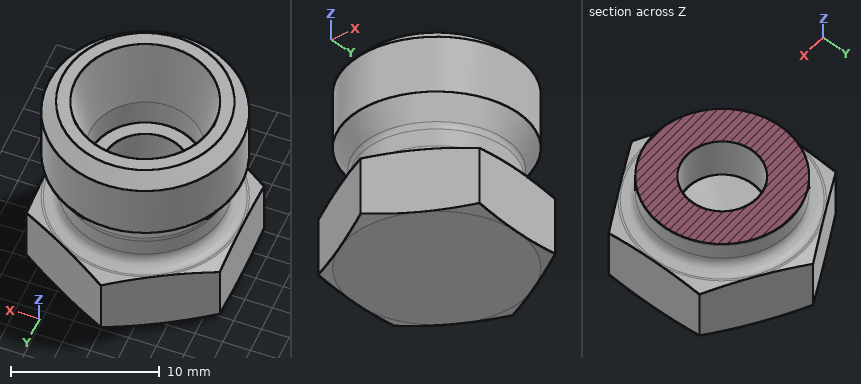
import cadquery as cq
import math

total_height = 15.0
across_flats = 14.0
hex_height = 5.0
across_corners = across_flats / math.cos(math.radians(30))

hex_chamfer_angle = 15
hex_chamfer_drop = (across_corners - across_flats) / 2 * math.tan(math.radians(hex_chamfer_angle))

body_radius = across_flats / 2
top_chamfer = 1.0
body_bottom = 9.6
neck_radius = 11.7 / 2
neck_fillet = 1.0
shoulder_half_angle = 30
shoulder_bottom = body_bottom - (body_radius - neck_radius) / math.tan(math.radians(shoulder_half_angle))

seat_radius = 10.07 / 2
counterbore_radius = 8.0 / 2
drill_radius = 6.0 / 2
seat_half_angle = 12
seat_bottom = total_height - (seat_radius - counterbore_radius) / math.tan(math.radians(seat_half_angle))
counterbore_bottom = 8.0
drill_bottom = 4.0
drill_tip_half_angle = 59
drill_tip = drill_bottom - drill_radius / math.tan(math.radians(drill_tip_half_angle))


def revolve_profile(profile):
    """Revolve a closed (radius, height) outline about the Z axis."""
    return profile.close().revolve(360, (0, 0, 0), (0, 1, 0))


def make_hexagon():
    """Hexagon with flats facing X and its corners chamfered at both ends."""
    prism = cq.Workplane("XY").polygon(6, across_corners).extrude(hex_height)
    prism = prism.rotate((0, 0, 0), (0, 0, 1), 30)
    corner_radius = across_corners / 2
    envelope = revolve_profile(
        cq.Workplane("XZ")
        .moveTo(0, 0)
        .lineTo(body_radius, 0)
        .lineTo(corner_radius, hex_chamfer_drop)
        .lineTo(corner_radius, hex_height - hex_chamfer_drop)
        .lineTo(body_radius, hex_height)
        .lineTo(0, hex_height)
    )
    return prism.intersect(envelope)


def make_body():
    """Chamfered cylinder on a tapered shoulder and a neck with rounded ends."""
    arc_middle_angle = math.radians(shoulder_half_angle / 2)
    arc_end_angle = math.radians(shoulder_half_angle)
    tangent_length = neck_fillet * math.tan(arc_middle_angle)
    fillet_start = shoulder_bottom - tangent_length
    fillet_centre_radius = neck_radius + neck_fillet

    def shoulder_fillet_point(angle):
        return (
            fillet_centre_radius - neck_fillet * math.cos(angle),
            fillet_start + neck_fillet * math.sin(angle),
        )

    root_top = hex_height + neck_fillet
    root_arc_offset = neck_fillet * math.cos(math.radians(45))
    return revolve_profile(
        cq.Workplane("XZ")
        .moveTo(0, hex_height)
        .lineTo(fillet_centre_radius, hex_height)
        .threePointArc(
            (fillet_centre_radius - root_arc_offset, root_top - root_arc_offset),
            (neck_radius, root_top),
        )
        .lineTo(neck_radius, fillet_start)
        .threePointArc(shoulder_fillet_point(arc_middle_angle), shoulder_fillet_point(arc_end_angle))
        .lineTo(body_radius, body_bottom)
        .lineTo(body_radius, total_height - top_chamfer)
        .lineTo(body_radius - top_chamfer, total_height)
        .lineTo(0, total_height)
    )


def make_bore():
    """Blind bore opening at the top and ending in a drill tip."""
    return revolve_profile(
        cq.Workplane("XZ")
        .moveTo(0, drill_tip)
        .lineTo(drill_radius, drill_bottom)
        .lineTo(drill_radius, counterbore_bottom)
        .lineTo(counterbore_radius, counterbore_bottom)
        .lineTo(counterbore_radius, seat_bottom)
        .lineTo(seat_radius, total_height)
        .lineTo(0, total_height)
    )


result = make_hexagon().union(make_body()).cut(make_bore())